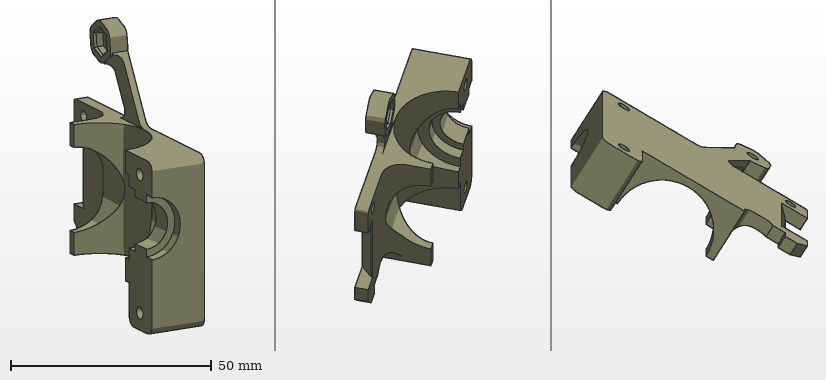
import cadquery as cq
import math

LENGTH = 60.2
DEPTH = 15.0
HEIGHT = 69.5
BODY_TOP = 45.0

FLANGE_THICKNESS = 3.5
NOTCH_DEPTH = 4.65
NOTCH_LIP = 0.4
NOTCH_BEVEL_ANGLE = 45.0
NOTCH_BOTTOM = 17.5
NOTCH_TOP = 37.5
FOOT_BOTTOM = 10.0
FOOT_WIDTH = 6.5
FOOT_CHAMFER_X = 3.0
FOOT_CHAMFER_Z = 3.3
LEDGE_Z = 13.2
FLANGE_CORNER_RADIUS = 1.0
FLANGE_HOLE_DIAMETER = 2.9
FLANGE_HOLE_CENTER = (5.0, 41.55)

WALL_X = 18.4
WALL_BOTTOM = 11.0
WALL_FILLET = 5.0
UPRIGHT_BORE_RADIUS = 13.0
UPRIGHT_BORE_X = 33.55

RELIEF_TOP = 14.95
RELIEF_RADIUS = 3.0
RELIEF_LEFT = 9.8

END_BLOCK_X = 48.4
END_CORNER_RADIUS = 2.5
SCREW_DIAMETER = 3.2
SCREW_X = 53.85
SCREW_HEIGHTS = (4.5, 40.5)

CROSS_BORE_Z = 28.0
CROSS_BORE_RADIUS = 11.05
SEAT_RADIUS = 8.05
NECK_RADIUS = 6.05
NECK_START = 51.5
NECK_END = 57.3

BOSS_X = 16.05
BOSS_APOTHEM = 5.1
BOSS_CORNER_RADIUS = 2.5
BOSS_THICKNESS = 5.0
BOSS_TURN = 38.0
NUT_FLATS = 6.0
NUT_MOUTH_FLATS = 6.8
NUT_DEPTH = 2.5
NUT_CHAMFER_DEPTH = 0.6
ARM_ANGLE = 120.0
ARM_THICKNESS = 1.95
ARM_LEFT_OFFSET = 2.0
ARM_RIGHT_OFFSET = 3.6
ARM_BOSS_FILLET = 2.4
ARM_LEFT_ROOT_FILLET = 2.2
ARM_RIGHT_ROOT_FILLET = 3.0

boss_corner_center = (BOSS_APOTHEM - BOSS_CORNER_RADIUS) / math.cos(math.radians(30))
BOSS_Z = HEIGHT - BOSS_CORNER_RADIUS - boss_corner_center * math.sin(math.radians(BOSS_TURN + 60))


def back_plane(distance=0.0):
    """XZ workplane at a distance in front of the back; extrusions run toward the split face."""
    return cq.Workplane("XZ", origin=(0, DEPTH - distance, 0))


def block(x_start, x_end, z_start, z_end, thickness):
    """Rectangular block standing on the back face."""
    return (
        back_plane()
        .center((x_start + x_end) / 2, (z_start + z_end) / 2)
        .rect(x_end - x_start, z_end - z_start)
        .extrude(thickness)
    )


def cross_cylinder(x_start, x_end, radius):
    """Cylinder on the cross bore axis."""
    return (
        cq.Workplane("YZ", origin=(x_start, 0, CROSS_BORE_Z))
        .circle(radius)
        .extrude(x_end - x_start)
    )


def hexagon_points(apothem):
    """Corners of a hexagon turned like the boss, about the boss axis."""
    radius = apothem / math.cos(math.radians(30))
    angles = [math.radians(BOSS_TURN + 60 * i) for i in range(6)]
    return [(BOSS_X + radius * math.cos(a), BOSS_Z + radius * math.sin(a)) for a in angles]


def make_flange():
    flange = (
        back_plane()
        .moveTo(0, BODY_TOP)
        .lineTo(0, NOTCH_TOP)
        .lineTo(NOTCH_DEPTH, NOTCH_TOP)
        .lineTo(NOTCH_DEPTH, NOTCH_BOTTOM)
        .lineTo(0, NOTCH_BOTTOM)
        .lineTo(0, FOOT_BOTTOM + FOOT_CHAMFER_Z)
        .lineTo(FOOT_CHAMFER_X, FOOT_BOTTOM)
        .lineTo(FOOT_WIDTH, FOOT_BOTTOM)
        .lineTo(FOOT_WIDTH, LEDGE_Z)
        .lineTo(WALL_X, LEDGE_Z)
        .lineTo(WALL_X, BODY_TOP)
        .close()
        .extrude(FLANGE_THICKNESS)
    )
    flange = flange.edges("|Y").edges("<X and >Z").fillet(FLANGE_CORNER_RADIUS)
    hole = back_plane().center(*FLANGE_HOLE_CENTER).circle(FLANGE_HOLE_DIAMETER / 2).extrude(DEPTH)
    return flange.cut(hole)


def make_notch_bevel():
    """Wedge that undercuts the notch wall from a thin front lip toward the back."""
    bevel_start = DEPTH - FLANGE_THICKNESS + NOTCH_LIP
    bevel_run = (FLANGE_THICKNESS - NOTCH_LIP) * math.tan(math.radians(NOTCH_BEVEL_ANGLE))
    return (
        cq.Workplane("XY", origin=(0, 0, NOTCH_BOTTOM))
        .moveTo(NOTCH_DEPTH, bevel_start)
        .lineTo(NOTCH_DEPTH + bevel_run, DEPTH)
        .lineTo(NOTCH_DEPTH, DEPTH)
        .close()
        .extrude(NOTCH_TOP - NOTCH_BOTTOM)
    )


def make_wall_fillet():
    """Concave blend between the flange and the wall of the main block."""
    flange_front = DEPTH - FLANGE_THICKNESS
    bend = WALL_FILLET * math.sin(math.radians(45))
    center = (WALL_X - WALL_FILLET, flange_front - WALL_FILLET)
    return (
        cq.Workplane("XY", origin=(0, 0, WALL_BOTTOM))
        .moveTo(WALL_X, flange_front)
        .lineTo(center[0], flange_front)
        .threePointArc((center[0] + bend, center[1] + bend), (WALL_X, center[1]))
        .close()
        .extrude(BODY_TOP - WALL_BOTTOM)
    )


def make_relief():
    relief = block(RELIEF_LEFT, WALL_X, 0, RELIEF_TOP, DEPTH)
    return relief.edges("|Y and >Z").fillet(RELIEF_RADIUS)


def make_end_block():
    end = block(END_BLOCK_X, LENGTH, 0, BODY_TOP, DEPTH)
    end = end.edges("|Y").edges("<Z or >X").fillet(END_CORNER_RADIUS)
    screw_points = [(SCREW_X, z) for z in SCREW_HEIGHTS]
    holes = back_plane().pushPoints(screw_points).circle(SCREW_DIAMETER / 2).extrude(DEPTH)
    return end.cut(holes)


def make_boss():
    boss = back_plane().polyline(hexagon_points(BOSS_APOTHEM)).close().extrude(BOSS_THICKNESS)
    return boss.edges("|Y").fillet(BOSS_CORNER_RADIUS)


def make_nut_pocket():
    """Hexagonal nut pocket with a chamfered mouth and a through hole."""
    socket = (
        back_plane(BOSS_THICKNESS - NUT_DEPTH)
        .polyline(hexagon_points(NUT_FLATS / 2))
        .close()
        .extrude(NUT_DEPTH)
    )
    mouth = (
        back_plane(BOSS_THICKNESS - NUT_CHAMFER_DEPTH)
        .polyline(hexagon_points(NUT_FLATS / 2))
        .close()
        .workplane(offset=NUT_CHAMFER_DEPTH)
        .polyline(hexagon_points(NUT_MOUTH_FLATS / 2))
        .close()
        .loft(ruled=True)
    )
    hole = back_plane().center(BOSS_X, BOSS_Z).circle(SCREW_DIAMETER / 2).extrude(BOSS_THICKNESS)
    return socket.union(mouth).union(hole)


def make_arm_outline():
    """Slanted strip from the boss axis to the body top, with rounded roots, at full boss depth."""
    along = (math.cos(math.radians(ARM_ANGLE)), math.sin(math.radians(ARM_ANGLE)))
    across = (along[1], -along[0])

    def boss_end(offset):
        """Start of an arm side, level with the boss axis."""
        return (BOSS_X + across[0] * offset, BOSS_Z + across[1] * offset)

    def root(offset, side, radius):
        """Ends and middle of the fillet at one side of the root (side is -1 left, +1 right)."""
        start_x, start_z = boss_end(offset)
        corner = (start_x + (BODY_TOP - start_z) * along[0] / along[1], BODY_TOP)
        open_angle = math.radians(ARM_ANGLE if side > 0 else 180 - ARM_ANGLE)
        tangent = radius / math.tan(open_angle / 2)
        on_arm = (corner[0] + tangent * along[0], corner[1] + tangent * along[1])
        on_body = (corner[0] + side * tangent, BODY_TOP)
        bisector = open_angle / 2 if side > 0 else math.pi - open_angle / 2
        reach = radius / math.sin(open_angle / 2) - radius
        middle = (corner[0] + reach * math.cos(bisector), corner[1] + reach * math.sin(bisector))
        return on_arm, middle, on_body

    left_arm, left_middle, left_body = root(-ARM_LEFT_OFFSET, -1, ARM_LEFT_ROOT_FILLET)
    right_arm, right_middle, right_body = root(ARM_RIGHT_OFFSET, 1, ARM_RIGHT_ROOT_FILLET)
    return (
        back_plane()
        .moveTo(*boss_end(-ARM_LEFT_OFFSET))
        .lineTo(*left_arm)
        .threePointArc(left_middle, left_body)
        .lineTo(*right_body)
        .threePointArc(right_middle, right_arm)
        .lineTo(*boss_end(ARM_RIGHT_OFFSET))
        .close()
        .extrude(BOSS_THICKNESS)
    )


def make_arm_section():
    """Thickness profile of the arm, thickening in a fillet against the lower right boss flat."""
    flat_angle = math.radians(BOSS_TURN - 90)
    outward = (math.cos(flat_angle), 0, math.sin(flat_angle))
    plane = cq.Plane(
        origin=(BOSS_X, DEPTH, BOSS_Z),
        xDir=outward,
        normal=(outward[2], 0, -outward[0]),
    )
    bend = ARM_BOSS_FILLET * (1 - math.sin(math.radians(45)))
    fillet_top = ARM_THICKNESS + ARM_BOSS_FILLET
    return (
        cq.Workplane(plane)
        .lineTo(HEIGHT, 0)
        .lineTo(HEIGHT, ARM_THICKNESS)
        .lineTo(BOSS_APOTHEM + ARM_BOSS_FILLET, ARM_THICKNESS)
        .threePointArc((BOSS_APOTHEM + bend, ARM_THICKNESS + bend), (BOSS_APOTHEM, fillet_top))
        .lineTo(0, fillet_top)
        .close()
        .extrude(HEIGHT, both=True)
    )


main_block = block(WALL_X, END_BLOCK_X, WALL_BOTTOM, BODY_TOP, DEPTH)
upright_bore = (
    cq.Workplane("XY")
    .center(UPRIGHT_BORE_X, 0)
    .circle(UPRIGHT_BORE_RADIUS)
    .extrude(HEIGHT)
)
cross_bore = (
    cross_cylinder(0, END_BLOCK_X, CROSS_BORE_RADIUS)
    .union(cross_cylinder(END_BLOCK_X, NECK_START, SEAT_RADIUS))
    .union(cross_cylinder(NECK_START, NECK_END, NECK_RADIUS))
    .union(cross_cylinder(NECK_END, LENGTH, SEAT_RADIUS))
)
body = make_flange().cut(make_notch_bevel()).union(make_wall_fillet()).cut(make_relief())
body = body.union(main_block).union(make_end_block()).cut(upright_bore).cut(cross_bore)

arm = make_arm_outline().intersect(make_arm_section())
nut_arm = arm.union(make_boss()).cut(make_nut_pocket())

result = body.union(nut_arm)